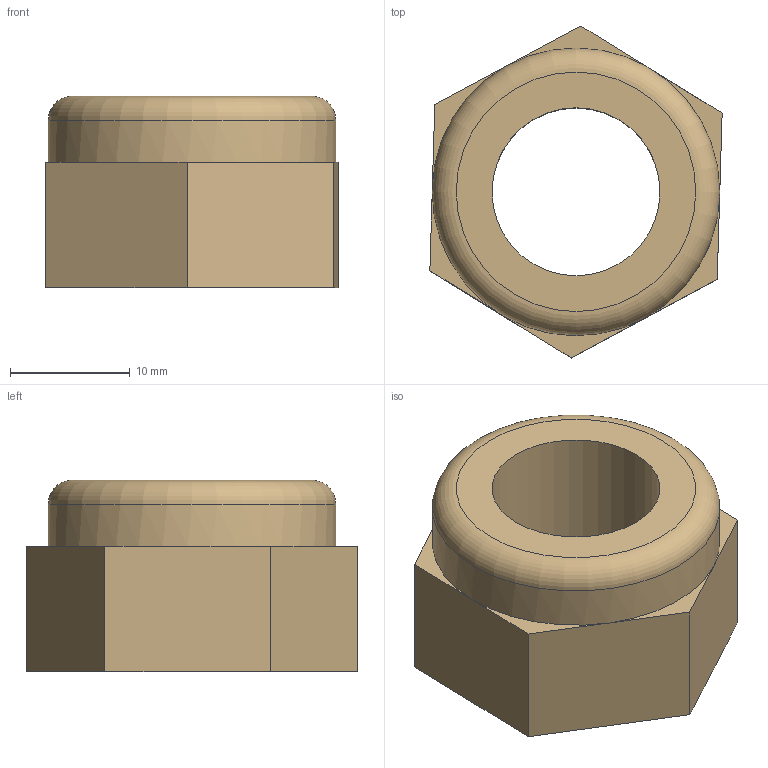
import cadquery as cq
import math

width_across_flats = 24.0
hex_height = 10.5
total_height = 16.0
collar_diameter = width_across_flats
collar_edge_radius = 2.0
bore_diameter = 14.02
hex_turn_angle = -1.7

SIDES = 6
width_across_corners = width_across_flats / math.cos(math.pi / SIDES)
collar_height = total_height - hex_height


def hex_body():
    """Hexagonal wrench section standing on the base plane."""
    corner_on_y_turn = 90.0
    body = cq.Workplane("XY").polygon(SIDES, width_across_corners).extrude(hex_height)
    return body.rotate((0, 0, 0), (0, 0, 1), corner_on_y_turn + hex_turn_angle)


def collar():
    """Round collar on top of the hexagon, with a rounded upper rim."""
    plain = cq.Workplane("XY").workplane(offset=hex_height).circle(collar_diameter / 2).extrude(collar_height)
    return plain.faces(">Z").edges().fillet(collar_edge_radius)


def bore():
    """Plain hole through the full height."""
    return cq.Workplane("XY").circle(bore_diameter / 2).extrude(total_height)


result = hex_body().union(collar()).cut(bore())